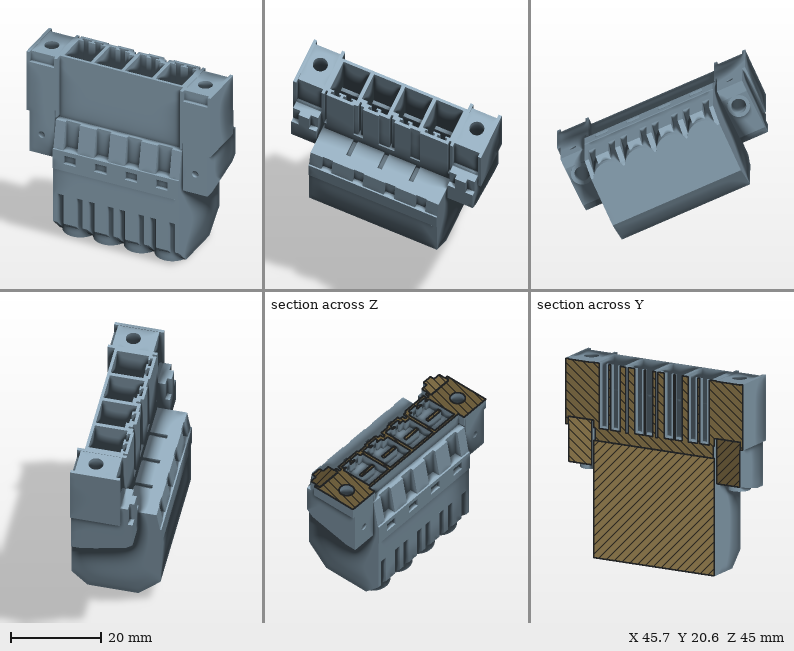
import cadquery as cq


pitch = 7.62
pole_count = 4
pole_xs = [pitch * (i - (pole_count - 1) / 2) for i in range(pole_count)]
first_pole_x, last_pole_x = pole_xs[0], pole_xs[-1]
flange_x = 2.5 * pitch
sides = (-1, 1)
slip = 1.0

plug_half_width = 15.6
plug_half_depth = 10.1
collar_half_depth = 10.3
collar_bottom_z = 17.4
collar_top_z = 22.45
plug_front_top_z = 29.2
plug_back_top_z = 27.1
front_chamfer = 3.6
back_chamfer = 5.0
front_shoulder_y = -9.9
back_shoulder_y = 9.98
front_top_y = -8.7
back_top_y = 9.2

front_notch_width = 3.5
front_notch_y = -8.03
back_notch_width = 2.45
back_notch_y = 9.05

window_width = 3.05
window_bottom_z = 19.25
window_top_z = 21.4
window_depth = 1.0

wire_sleeve_radius = 4.0
wire_sleeve_y = -4.85
sleeve_slot_inner_x = 1.52
sleeve_slot_outer_x = 3.2
sleeve_slot_top_z = 11.0

key_slot_width = 1.08
key_slot_back_y = 6.5
key_slot_depth = 1.0

header_top_z = 45.0
header_half_length = 22.86
header_front_y = -8.86
header_back_y = 2.44
front_wall_y = -7.17
neck_half_width = 15.28
plate_bottom_z = 29.85
block_bottom_z = 31.6
block_half_width = 3.05
block_back_y = 1.43
block_step_y = -7.95
block_top_z = 44.9
block_step_z = 42.5
screw_hole_radius = 1.67
screw_hole_y = -3.81
side_groove_width = 0.5

cavity_floor_z = 30.0
cavity_front_y = -6.5
cavity_back_y = 0.76
end_cavity_outer = 3.18
end_cavity_inner = 3.4
end_corner_width = 1.4
end_corner_y = 0.93
mid_cavity_half_width = 3.38
mid_left_pocket_x = -1.7
mid_left_pocket_y = 1.39
mid_right_step_x = 1.9
mid_right_step_y = 0.09

key_neck_y = 1.17
key_head_y = 1.76
key_neck_half_width = 0.65
key_head_half_width = 1.16
end_key_offsets = (-1.5, 1.45)

back_step_y = 2.1
back_step_inner_width = 2.46
back_step_end_width = 1.01
hook_notch_left_x = 2.03
hook_notch_bend_x = 2.88
hook_notch_shallow_y = 1.76
hook_notch_deep_y = 0.93

blade_width = 4.4
blade_thickness = 0.85
blade_y = -3.2
blade_top_z = 38.0

bracket_bottom_z = 19.4
bracket_top_z = 34.9
bracket_back_y = 5.19
heel_top_z = 23.2
heel_bottom_y = 3.56
heel_bottom_z = 21.85
slope_front_y = -6.3
hook_edge_y = 2.27
hook_ridge_y = 1.95
hook_ridge_rise = 0.32
hook_drop = 0.25
tongue_width = 2.55
tongue_notch_y = 4.14
boss_radius = 2.5
front_hole_radius = 0.82
front_hole_z = 24.4
front_hole_depth = 1.5


def box(x0, x1, y0, y1, z0, z1):
    """Box between opposite corner coordinates."""
    return cq.Workplane("XY").box(x1 - x0, y1 - y0, z1 - z0, centered=False).translate((x0, y0, z0))


def column(points, z0, z1):
    """Vertical prism over an outline of (x, y) points."""
    return cq.Workplane("XY").workplane(offset=z0).polyline(points).close().extrude(z1 - z0)


def side_profile(points, half_width, x=0.0):
    """Prism along X, centred on x, over an outline of (y, z) points."""
    outline = cq.Workplane("YZ").workplane(offset=x).polyline(points).close()
    return outline.extrude(half_width, both=True)


def cylinder(x, y, radius, z0, z1):
    return cq.Workplane("XY").workplane(offset=z0).center(x, y).circle(radius).extrude(z1 - z0)


def blade_at(x):
    """Flat contact blade passing through the header floor."""
    return box(
        x - blade_width / 2, x + blade_width / 2,
        blade_y - blade_thickness / 2, blade_y + blade_thickness / 2,
        plug_back_top_z, blade_top_z,
    )


def plug_shell():
    """Full-width plug body, with its collar and the wall rising in front of the header."""
    return side_profile([
        (-plug_half_depth + front_chamfer, 0),
        (-plug_half_depth, front_chamfer),
        (-plug_half_depth, collar_bottom_z),
        (-collar_half_depth, collar_bottom_z),
        (-collar_half_depth, collar_top_z),
        (front_shoulder_y, collar_top_z),
        (front_top_y, plug_front_top_z),
        (front_wall_y, plug_front_top_z),
        (front_wall_y, plug_back_top_z),
        (back_top_y, plug_back_top_z),
        (back_shoulder_y, collar_top_z),
        (collar_half_depth, collar_top_z),
        (collar_half_depth, collar_bottom_z),
        (plug_half_depth, collar_bottom_z),
        (plug_half_depth, back_chamfer),
        (plug_half_depth - back_chamfer, 0),
    ], plug_half_width)


def top_notches(x):
    """Notches above the collar, in the front and back slopes of one pole."""
    front = box(
        x - front_notch_width / 2, x + front_notch_width / 2,
        -collar_half_depth, front_notch_y, collar_top_z, plug_front_top_z + slip,
    )
    back = box(
        x - back_notch_width / 2, x + back_notch_width / 2,
        back_notch_y, collar_half_depth, collar_top_z, plug_back_top_z + slip,
    )
    return front.union(back)


def collar_window(x):
    return box(
        x - window_width / 2, x + window_width / 2,
        -collar_half_depth - slip, -collar_half_depth + window_depth,
        window_bottom_z, window_top_z,
    )


def sleeve_slots(x):
    """Pair of slots in the front face that lay bare the wire sleeve behind them."""
    slot_width = sleeve_slot_outer_x - sleeve_slot_inner_x
    slot_centre = (sleeve_slot_outer_x + sleeve_slot_inner_x) / 2
    slots = cq.Workplane("XY")
    for side in sides:
        centre = x + side * slot_centre
        slots = slots.union(box(
            centre - slot_width / 2, centre + slot_width / 2,
            -plug_half_depth - slip, wire_sleeve_y, 0, sleeve_slot_top_z,
        ))
    return slots


def make_plug():
    plug = plug_shell()
    for x in pole_xs:
        plug = plug.cut(top_notches(x)).cut(collar_window(x)).cut(sleeve_slots(x))
    for x in pole_xs:
        plug = plug.union(cylinder(x, wire_sleeve_y, wire_sleeve_radius, 0, sleeve_slot_top_z))
    for x in pole_xs[:-1]:
        boundary = x + pitch / 2
        plug = plug.cut(box(
            boundary - key_slot_width / 2, boundary + key_slot_width / 2,
            header_back_y, key_slot_back_y,
            plug_back_top_z - key_slot_depth, plug_back_top_z + slip,
        ))
    return plug


def key_groove(x):
    """T-shaped groove in the back wall of a cavity."""
    neck = box(
        x - key_neck_half_width, x + key_neck_half_width,
        cavity_back_y, key_neck_y, cavity_floor_z, header_top_z,
    )
    head = box(
        x - key_head_half_width, x + key_head_half_width,
        key_neck_y, key_head_y, cavity_floor_z, header_top_z,
    )
    return neck.union(head)


def end_cavity(x, side):
    """Cavity of an end pole: side is the direction of the nearer end."""
    outer = x + side * end_cavity_outer
    inner = x - side * end_cavity_inner
    corner = inner + side * end_corner_width
    cavity = column([
        (outer, cavity_front_y), (outer, cavity_back_y), (corner, cavity_back_y),
        (corner, end_corner_y), (inner, end_corner_y), (inner, cavity_front_y),
    ], cavity_floor_z, header_top_z)
    for offset in end_key_offsets:
        cavity = cavity.union(key_groove(x - side * offset))
    return cavity


def middle_cavity(x):
    left = x - mid_cavity_half_width
    right = x + mid_cavity_half_width
    pocket = x + mid_left_pocket_x
    step = x + mid_right_step_x
    cavity = column([
        (left, cavity_front_y), (left, mid_left_pocket_y), (pocket, mid_left_pocket_y),
        (pocket, cavity_back_y), (step, cavity_back_y), (step, mid_right_step_y),
        (right, mid_right_step_y), (right, cavity_front_y),
    ], cavity_floor_z, header_top_z)
    return cavity.union(key_groove(x))


def back_notch(x):
    """Stepped notch in the outer back face, beside a middle pole."""
    left = x + hook_notch_left_x
    bend = x + hook_notch_bend_x
    right = x + mid_cavity_half_width
    return column([
        (left, header_back_y), (left, hook_notch_shallow_y), (bend, hook_notch_shallow_y),
        (bend, hook_notch_deep_y), (right, hook_notch_deep_y), (right, header_back_y),
    ], plate_bottom_z, header_top_z)


def back_step(x0, width):
    return box(x0, x0 + width, back_step_y, header_back_y, plate_bottom_z, header_top_z)


def header_shell():
    """Housing with end plates, the seats for the brackets and the neck that meets the plug."""
    shell = box(
        -header_half_length, header_half_length, header_front_y, header_back_y,
        plate_bottom_z, header_top_z,
    )
    shell = shell.union(box(
        -neck_half_width, neck_half_width, front_wall_y, header_back_y,
        plug_back_top_z, plate_bottom_z,
    ))
    shell = shell.cut(box(
        -neck_half_width, neck_half_width, header_front_y, front_wall_y,
        plate_bottom_z, header_top_z,
    ))
    for side in sides:
        x = side * flange_x
        left, right = x - block_half_width, x + block_half_width
        seat_left = min(side * plug_half_width, left)
        seat_right = max(side * plug_half_width, right)
        seat = box(seat_left, seat_right, header_front_y, header_back_y, plate_bottom_z, block_bottom_z)
        back_recess = box(left, right, block_back_y, header_back_y, block_bottom_z, header_top_z)
        front_step = box(left, right, header_front_y, block_step_y, block_step_z, header_top_z)
        hole = cylinder(x, screw_hole_y, screw_hole_radius, block_bottom_z, header_top_z)
        groove_x = side * (neck_half_width - side_groove_width / 2)
        groove = box(
            groove_x - side_groove_width / 2, groove_x + side_groove_width / 2,
            block_back_y, header_back_y, plate_bottom_z, header_top_z,
        )
        top_recess = box(left, right, block_step_y, block_back_y, block_top_z, header_top_z)
        for cutter in (seat, back_recess, front_step, top_recess, hole, groove):
            shell = shell.cut(cutter)
    return shell


def make_header():
    header = header_shell()
    header = header.cut(end_cavity(first_pole_x, -1)).cut(end_cavity(last_pole_x, 1))
    header = header.cut(back_step(first_pole_x + end_cavity_inner, back_step_inner_width))
    for x in pole_xs[1:-1]:
        header = header.cut(middle_cavity(x)).cut(back_notch(x))
    first_middle, last_middle = pole_xs[1:-1]
    header = header.cut(back_step(first_middle + mid_cavity_half_width, back_step_inner_width))
    header = header.cut(back_step(last_middle + mid_cavity_half_width, back_step_end_width))
    for x in pole_xs:
        header = header.cut(blade_at(x))
    return header


def make_bracket(x):
    """Bracket under one header flange, hooked up behind the flange block."""
    bracket = side_profile([
        (header_front_y, bracket_bottom_z),
        (header_front_y, block_bottom_z),
        (block_back_y, block_bottom_z),
        (block_back_y, bracket_top_z - hook_drop),
        (hook_ridge_y, bracket_top_z),
        (hook_edge_y, bracket_top_z - hook_ridge_rise),
        (header_back_y, bracket_top_z - hook_ridge_rise),
        (header_back_y, bracket_top_z),
        (bracket_back_y, bracket_top_z),
        (bracket_back_y, heel_top_z),
        (heel_bottom_y, heel_bottom_z),
        (slope_front_y, bracket_bottom_z),
    ], block_half_width, x)
    bracket = bracket.union(cylinder(x, screw_hole_y, boss_radius, bracket_bottom_z, block_bottom_z))
    bracket = bracket.cut(cylinder(x, screw_hole_y, screw_hole_radius, bracket_bottom_z, block_bottom_z))

    notch_width = block_half_width - tongue_width / 2
    for side in sides:
        centre = x + side * (tongue_width + notch_width) / 2
        bracket = bracket.cut(box(
            centre - notch_width / 2, centre + notch_width / 2,
            tongue_notch_y, bracket_back_y, plate_bottom_z, bracket_top_z,
        ))

    front_hole = (
        cq.Workplane("XZ", origin=(x, header_front_y, front_hole_z))
        .circle(front_hole_radius)
        .extrude(-front_hole_depth)
    )
    return bracket.cut(front_hole)


plug = make_plug()
header = make_header()
brackets = [make_bracket(side * flange_x) for side in sides]
blades = [blade_at(x) for x in pole_xs]

result = cq.Compound.makeCompound([
    plug.val(),
    header.val(),
    *[bracket.val() for bracket in brackets],
    *[blade.val() for blade in blades],
])